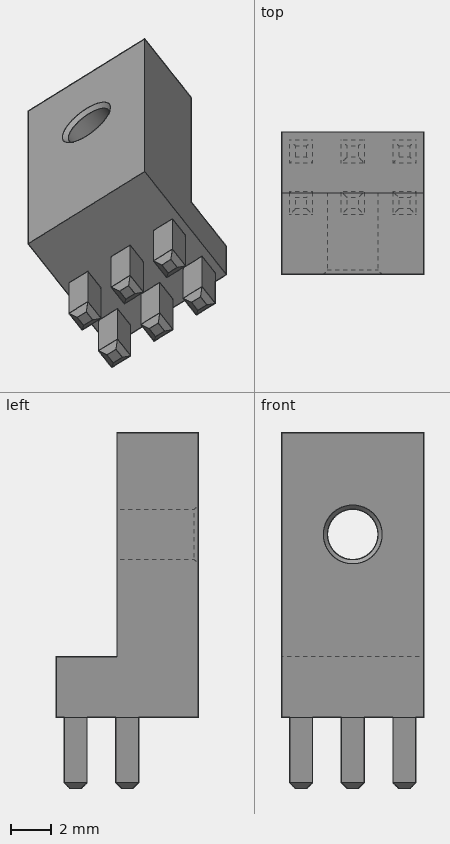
import cadquery as cq

width = 7.0
depth = 7.0
body_height = 14.0
wall_thickness = 4.0
step_height = 3.0

hole_diameter = 2.47
hole_below_top = 5.0
hole_chamfer = 0.21

pin_length = 3.5
pin_width = 1.14
pin_pitch = 2.54
pin_chamfer = 0.3
pin_columns = (-1, 0, 1)
pin_rows = (0, 1)

front_y = -depth / 2
back_y = depth / 2
wall_back_y = front_y + wall_thickness


def make_body():
    """Extrude the L-shaped side profile symmetrically along X."""
    profile = [
        (front_y, 0),
        (back_y, 0),
        (back_y, step_height),
        (wall_back_y, step_height),
        (wall_back_y, body_height),
        (front_y, body_height),
    ]
    return cq.Workplane("YZ").polyline(profile).close().extrude(width / 2, both=True)


def make_hole():
    """Cutter for the through hole and its conical front edge."""
    radius = hole_diameter / 2
    hole_z = body_height - hole_below_top
    center = cq.Vector(0, front_y, hole_z)
    inward = cq.Vector(0, 1, 0)
    bore = cq.Solid.makeCylinder(radius, wall_thickness, center, inward)
    countersink = cq.Solid.makeCone(radius + hole_chamfer, radius, hole_chamfer, center, inward)
    return cq.Workplane(bore).union(cq.Workplane(countersink))


def make_pin(x, y):
    """Square pin hanging below the body, with a chamfered tip."""
    pin = cq.Workplane("XY").center(x, y).rect(pin_width, pin_width).extrude(-pin_length)
    return pin.faces("<Z").chamfer(pin_chamfer)


result = make_body().cut(make_hole())
for column in pin_columns:
    for row in pin_rows:
        result = result.union(make_pin(column * pin_pitch, row * pin_pitch))